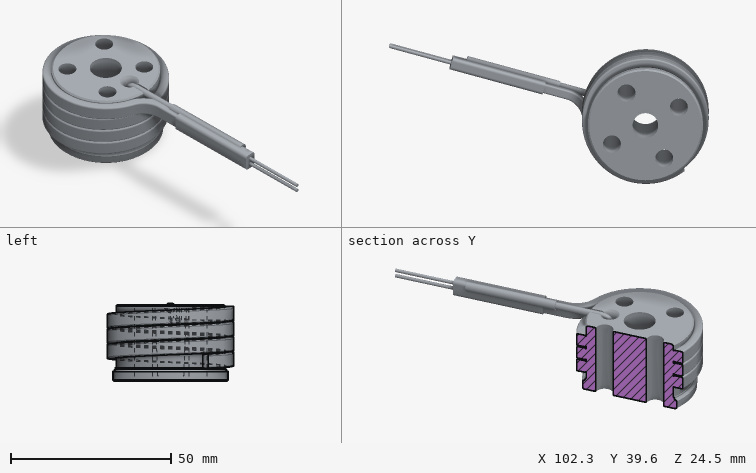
import cadquery as cq
import math

core_height = 24.0
core_radius = 17.0
core_edge_chamfer = 0.5
flange_radius = 18.0
flange_height = 3.0
shoulder_radius = 17.25
shoulder_height = 4.25
bore_top_radius = 5.0
bore_bottom_radius = 4.0
screw_hole_diameter = 5.6
screw_bolt_circle_radius = 12.0

band_thickness = 2.8
band_height = 4.5
band_corner_radius = 0.5
band_pitch = 4.75
band_embed = 0.05
band_start_angle = 216.5
band_helix_end_angle = 270.0
band_full_turns = 3
band_top = 23.5

lead_straight_start_x = 25.0
lead_center_y = -band_thickness / 2

sleeve_wall = 0.5
sleeve_length = 30.0
lead_sleeve_end_x = 62.5
supply_wire_diameter = 1.1
supply_wire_spacing = 2.0
supply_wire_length = 20.0

pocket_x = 10.0
pocket_radius = 3.0
cable_radius = 1.1
cable_z = 23.0
cable_bend_radius = 4.0
cable_sleeve_radius = 1.5
cable_sleeve_start_x = 28.0

band_inner_radius = core_radius - band_embed
band_outer_radius = core_radius + band_thickness
band_mid_radius = core_radius + band_thickness / 2
band_center_z = band_top - band_height / 2
helix_turns = band_full_turns + (band_helix_end_angle - band_start_angle) / 360
helix_rise = helix_turns * band_pitch
lead_sleeve_start_x = lead_sleeve_end_x - sleeve_length
cable_bend_end_x = pocket_x + pocket_radius


def make_core():
    """Revolved body with a bevelled flange and a low shoulder at the bottom."""
    flange_chamfer = flange_radius - shoulder_radius
    outline = (
        cq.Workplane("XZ")
        .moveTo(0, 0)
        .lineTo(flange_radius - core_edge_chamfer, 0)
        .lineTo(flange_radius, core_edge_chamfer)
        .lineTo(flange_radius, flange_height)
        .lineTo(shoulder_radius, flange_height + flange_chamfer)
        .lineTo(shoulder_radius, shoulder_height)
        .lineTo(core_radius, shoulder_height)
        .lineTo(core_radius, core_height - core_edge_chamfer)
        .lineTo(core_radius - core_edge_chamfer, core_height)
        .lineTo(0, core_height)
        .close()
    )
    return outline.revolve(360, (0, 0, 0), (0, 1, 0))


def cut_core_holes(core):
    """Cut the tapered bore, the screw holes and the pocket and groove for the sensor cable."""
    bore = cq.Solid.makeCone(bore_bottom_radius, bore_top_radius, core_height)
    first_screw_angle = 45
    screw_count = 4
    screw_holes = (
        cq.Workplane("XY")
        .polarArray(screw_bolt_circle_radius, first_screw_angle, 360, screw_count)
        .circle(screw_hole_diameter / 2)
        .extrude(core_height)
    )
    pocket = cq.Solid.makeCone(
        0, pocket_radius, pocket_radius, pnt=cq.Vector(pocket_x, 0, core_height - pocket_radius)
    )
    groove = (
        cq.Workplane("XY", origin=(pocket_x, 0, cable_z))
        .box(core_radius - pocket_x, 2 * cable_radius, core_height - cable_z, centered=(False, True, False))
    )
    return core.cut(bore).cut(screw_holes).cut(pocket).cut(groove)


def band_section(plane, inner, outer, height, corner_radius):
    """Rounded rectangle on `plane`, running from inner to outer along its local x."""
    sketch = cq.Sketch().rect(outer - inner, height).vertices().fillet(corner_radius)
    return cq.Workplane(plane).center((inner + outer) / 2, 0).placeSketch(sketch)


def make_helical_band():
    """Sweep the band section up the helix from its start angle to the lead-out."""
    helix = cq.Wire.makeHelix(band_pitch, helix_rise, band_mid_radius)
    plane = cq.Plane(origin=(0, 0, 0), xDir=(1, 0, 0), normal=(0, -1, 0))
    section = band_section(plane, band_inner_radius, band_outer_radius, band_height, band_corner_radius)
    band = section.sweep(cq.Workplane(obj=helix), isFrenet=True)
    start_z = band_center_z - helix_rise
    return band.rotate((0, 0, 0), (0, 0, 1), band_start_angle).translate((0, 0, start_z))


def make_lead_out():
    """Flat continuation of the band: around the core, through a reverse bend and out along +X."""
    bend_radius = (lead_straight_start_x**2 + lead_center_y**2 - band_mid_radius**2) / (
        2 * (band_mid_radius + lead_center_y)
    )
    bend_center_y = lead_center_y - bend_radius
    exit_angle = math.atan2(bend_center_y, lead_straight_start_x)
    exit_x = band_mid_radius * math.cos(exit_angle)
    exit_y = band_mid_radius * math.sin(exit_angle)
    arc_mid_angle = (exit_angle - math.pi / 2) / 2
    bend_mid_angle = (exit_angle + math.pi + math.pi / 2) / 2
    path = (
        cq.Workplane("XY", origin=(0, 0, band_center_z))
        .moveTo(0, -band_mid_radius)
        .threePointArc(
            (band_mid_radius * math.cos(arc_mid_angle), band_mid_radius * math.sin(arc_mid_angle)),
            (exit_x, exit_y),
        )
        .threePointArc(
            (
                lead_straight_start_x + bend_radius * math.cos(bend_mid_angle),
                bend_center_y + bend_radius * math.sin(bend_mid_angle),
            ),
            (lead_straight_start_x, lead_center_y),
        )
        .lineTo(lead_sleeve_end_x, lead_center_y)
    )
    plane = cq.Plane(origin=(0, 0, band_center_z), xDir=(0, -1, 0), normal=(1, 0, 0))
    section = band_section(plane, band_inner_radius, band_outer_radius, band_height, band_corner_radius)
    return section.sweep(path)


def make_lead_sleeve():
    """Rounded sleeve around the end of the lead-out, with the two supply wires leaving it."""
    plane = cq.Plane(origin=(lead_sleeve_start_x, 0, band_center_z), xDir=(0, -1, 0), normal=(1, 0, 0))
    sleeve = band_section(
        plane,
        -sleeve_wall,
        band_thickness + sleeve_wall,
        band_height + 2 * sleeve_wall,
        band_corner_radius + sleeve_wall,
    ).extrude(sleeve_length)
    wires = (
        cq.Workplane("YZ", origin=(lead_sleeve_end_x, lead_center_y, band_center_z))
        .rarray(1, supply_wire_spacing, 1, 2)
        .circle(supply_wire_diameter / 2)
        .extrude(supply_wire_length)
    )
    return sleeve.union(wires)


def make_sensor_cable():
    """Cable that rises from the pocket, bends to +X and ends inside a round sleeve."""
    bend_bottom_x = cable_bend_end_x - cable_bend_radius
    path = (
        cq.Workplane("XZ")
        .moveTo(cable_sleeve_start_x, cable_z)
        .lineTo(cable_bend_end_x, cable_z)
        .tangentArcPoint((bend_bottom_x, cable_z - cable_bend_radius), relative=False)
    )
    cable = cq.Workplane("YZ", origin=(cable_sleeve_start_x, 0, cable_z)).circle(cable_radius).sweep(path)
    sleeve = (
        cq.Workplane("YZ", origin=(cable_sleeve_start_x, 0, cable_z))
        .circle(cable_sleeve_radius)
        .extrude(sleeve_length)
    )
    return cable.union(sleeve)


core = cut_core_holes(make_core())
band = make_helical_band().union(make_lead_out())
result = core.union(band).union(make_lead_sleeve()).union(make_sensor_cable())